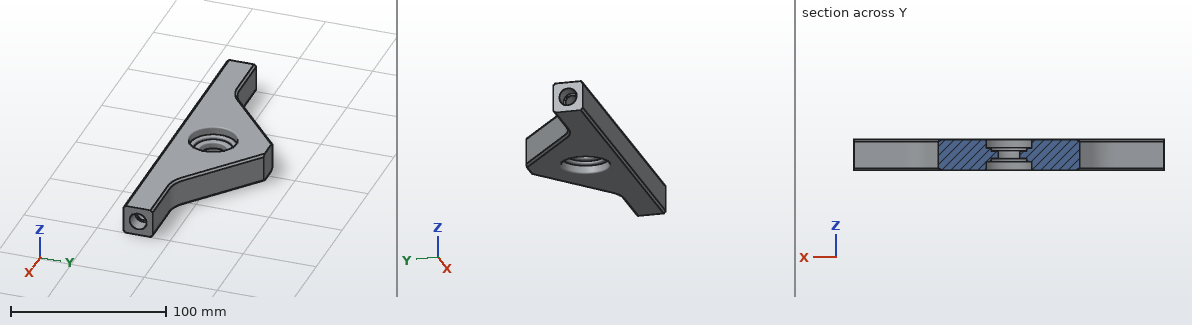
import cadquery as cq
import math

length = 200.0
depth = 63.5
thickness = 20.0
rail_width = thickness
plate_half_base = 59.7
peak_half_width = 8.6
flank_blend_radius = 20.0
edge_chamfer = 1.5

bore_y = 26.0
bore_edge_radius = 1.0
seat_diameter = 31.5
seat_depth = 5.5
relief_diameter = 25.6
relief_depth = 7.5
bore_diameter = 17.7

counterbore_diameter = 11.5
counterbore_depth = 10.0
end_hole_diameter = 8.65
end_hole_depth = 30.0
drill_point_angle = 118.0

mid_z = thickness / 2


def make_plate():
    """Rail with a truncated triangle on its +Y side; long edges are chamfered."""
    half_length = length / 2
    outline = [
        (-half_length, 0),
        (half_length, 0),
        (half_length, rail_width),
        (plate_half_base, rail_width),
        (peak_half_width, depth),
        (-peak_half_width, depth),
        (-plate_half_base, rail_width),
        (-half_length, rail_width),
    ]
    plate = cq.Workplane("XY").polyline(outline).close().extrude(thickness)
    for side in (-1, 1):
        corner = cq.selectors.NearestToPointSelector((side * plate_half_base, rail_width, mid_z))
        plate = plate.edges("|Z").edges(corner).fillet(flank_blend_radius)
    straight_ends = cq.selectors.StringSyntaxSelector("|Y")
    peak_edges = cq.selectors.BoxSelector(
        (-peak_half_width, depth - edge_chamfer, -edge_chamfer),
        (peak_half_width, depth + edge_chamfer, thickness + edge_chamfer),
    )
    face_edges = plate.faces("<Z or >Z").edges(-(straight_ends + peak_edges))
    return face_edges.chamfer(edge_chamfer)


def make_bore_step(diameter, start, end):
    """Cylinder going down from depth start to depth end, with a rounded mouth edge."""
    radius = diameter / 2
    arc_mid_offset = bore_edge_radius * (1 - math.sqrt(0.5))
    step = (
        cq.Workplane("XZ")
        .moveTo(0, -start)
        .lineTo(radius + bore_edge_radius, -start)
        .threePointArc((radius + arc_mid_offset, -start - arc_mid_offset), (radius, -start - bore_edge_radius))
        .lineTo(radius, -end)
        .lineTo(0, -end)
        .close()
        .revolve(360, (0, 0), (0, 1))
    )
    return step.translate((0, bore_y, thickness))


def make_bore():
    """Seat, relief and bore stepping in from both faces, symmetric about mid thickness."""
    bore_end = thickness - relief_depth - bore_edge_radius
    upper_steps = make_bore_step(seat_diameter, 0, seat_depth)
    upper_steps = upper_steps.union(make_bore_step(relief_diameter, seat_depth, relief_depth))
    upper_steps = upper_steps.union(make_bore_step(bore_diameter, relief_depth, bore_end))
    lower_steps = upper_steps.mirror("XY", (0, 0, mid_z))
    return upper_steps.union(lower_steps)


def make_end_hole():
    """Drilled hole in the -X end with a deep counterbore and a conical tip."""
    radius = end_hole_diameter / 2
    counterbore_radius = counterbore_diameter / 2
    tip_length = radius / math.tan(math.radians(drill_point_angle / 2))
    profile = [
        (0, 0),
        (0, counterbore_radius),
        (counterbore_depth, counterbore_radius),
        (counterbore_depth, radius),
        (end_hole_depth, radius),
        (end_hole_depth + tip_length, 0),
    ]
    hole = cq.Workplane("XY").polyline(profile).close().revolve(360, (0, 0), (1, 0))
    return hole.translate((-length / 2, rail_width / 2, mid_z))


end_hole = make_end_hole()
result = make_plate().cut(make_bore()).cut(end_hole).cut(end_hole.mirror("YZ"))